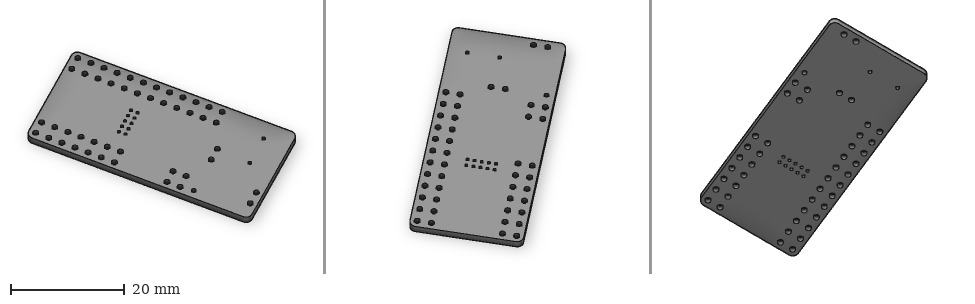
import cadquery as cq

board_length = 43.2
cells_long = 17
cells_wide = 8
pitch = board_length / cells_long
board_width = cells_wide * pitch
board_thickness = 1.6
corner_radius = 1.15

pin_diameter = 1.05
via_diameter = 0.5
mount_diameter = 0.65
single_diameter = 0.8

first_column_x = -(board_length - pitch) / 2
outer_row_y = (board_width - pitch) / 2
inner_row_y = outer_row_y - pitch
top_columns = range(12)
bottom_columns = [*range(7), 10, 11]

middle_pair_x = 4 * pitch
middle_pair_y = 0.0
edge_pair_x = -first_column_x
edge_pair_y = -2.25 * pitch

via_columns = 2
via_rows = 5
via_pitch = pitch / 2
via_center_x = -6.48

mount_x = 16.62
mount_center_y = 1.5 * pitch
mount_spacing = 5.8
single_x = middle_pair_x
single_y = -8.65


def header_points(columns, rows_y):
    """Pin positions for the given column numbers on each row."""
    return [(first_column_x + column * pitch, y) for column in columns for y in rows_y]


def pair_points(x, center_y, spacing):
    """Two positions stacked in Y about a centre."""
    return [(x, center_y - spacing / 2), (x, center_y + spacing / 2)]


def drill(board, points, diameter):
    """Cut through holes at points on the top face, measured from the board centre."""
    return board.faces(">Z").workplane(origin=(0, 0, 0)).pushPoints(points).hole(diameter)


pin_points = (
    header_points(top_columns, [outer_row_y, inner_row_y])
    + header_points(bottom_columns, [-outer_row_y, -inner_row_y])
    + pair_points(middle_pair_x, middle_pair_y, pitch)
    + pair_points(edge_pair_x, edge_pair_y, pitch)
)
via_points = [
    (
        via_center_x + (column - (via_columns - 1) / 2) * via_pitch,
        (row - (via_rows - 1) / 2) * via_pitch,
    )
    for column in range(via_columns)
    for row in range(via_rows)
]
mount_points = pair_points(mount_x, mount_center_y, mount_spacing)

result = cq.Workplane("XY").box(board_length, board_width, board_thickness)
result = result.edges("|Z").fillet(corner_radius)

result = drill(result, pin_points, pin_diameter)
result = drill(result, via_points, via_diameter)
result = drill(result, mount_points, mount_diameter)
result = drill(result, [(single_x, single_y)], single_diameter)